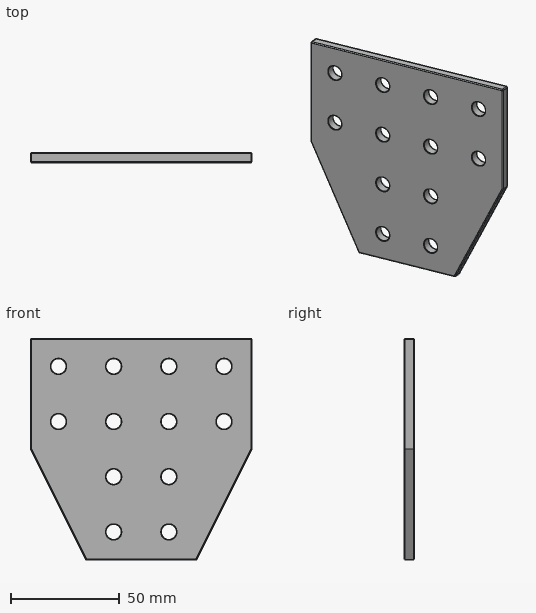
import cadquery as cq

width = 102
height = 102
thickness = 4.7625
foot_width = width / 2
shoulder_drop = height / 2
edge_chamfer = 0.5

pitch = 25.4
hole_diameter = 7
hole_chamfer = 0.25
row_columns = [4, 4, 2, 2]


def make_plate():
    """Tapered plate centred on the origin, with chamfered top corners and face rims."""
    top = height / 2
    bottom = -height / 2
    shoulder = top - shoulder_drop
    outline = [
        (-width / 2, top),
        (width / 2, top),
        (width / 2, shoulder),
        (foot_width / 2, bottom),
        (-foot_width / 2, bottom),
        (-width / 2, shoulder),
    ]
    plate = cq.Workplane("XZ").polyline(outline).close().extrude(thickness / 2, both=True)
    plate = plate.edges("|Y and >Z").chamfer(edge_chamfer)
    return plate.faces("<Y or >Y").edges().chamfer(edge_chamfer)


def hole_centres():
    """Hole positions (x, z) on a grid centred on the plate."""
    centres = []
    for row, columns in enumerate(row_columns):
        z = ((len(row_columns) - 1) / 2 - row) * pitch
        for column in range(columns):
            x = (column - (columns - 1) / 2) * pitch
            centres.append((x, z))
    return centres


def make_hole_cutter():
    """Round bar along Y that flares at both ends, cutting a hole with chamfered mouths."""
    radius = hole_diameter / 2
    mouth_radius = radius + hole_chamfer
    half = thickness / 2
    profile = [
        (-half, 0),
        (-half, -mouth_radius),
        (-half + hole_chamfer, -radius),
        (half - hole_chamfer, -radius),
        (half, -mouth_radius),
        (half, 0),
    ]
    return cq.Workplane("YZ").polyline(profile).close().revolve(360, (0, 0, 0), (1, 0, 0))


result = make_plate()
hole_cutter = make_hole_cutter()
for x, z in hole_centres():
    result = result.cut(hole_cutter.translate((x, 0, z)))